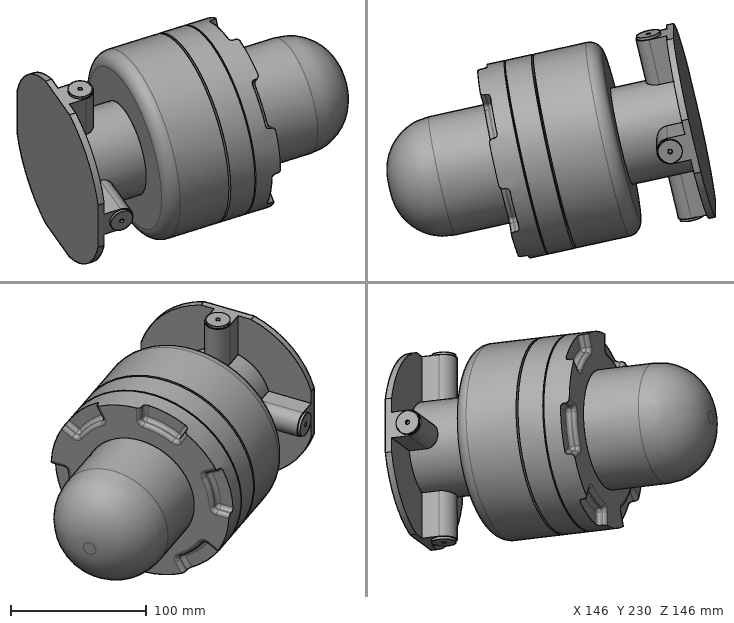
import cadquery as cq
import math

total_length = 230.0
body_diameter = 146.0
body_radius = body_diameter / 2
body_start = 55.0
body_end = 147.0
body_edge_radius = 10.4
neck_radius = 36.3
dome_radius = 44.6
dome_round = 39.5

grooves = [(104.9, 1.5, 61.5), (126.0, 1.0, 68.3)]

plate_radius = 73.0
plate_thickness = 5.0
plate_half_width = 70.0

arm_count = 4
arm_axis_height = 18.5
arm_radius = 10.0
cap_radius = 9.0
cap_end = 72.0
cap_hole_radius = 1.5
cap_hole_depth = 2.0

notch_count = 6
notch_angle = 30.0
notch_depth = 7.0
notch_inner_radius = 60.0
notch_round = 3.0


def disc(radius, start, end):
    """Cylinder about the Y axis between two positions along Y."""
    return cq.Workplane("XZ", origin=(0, start, 0)).circle(radius).extrude(start - end)


def turned_body():
    shell = disc(body_radius, body_start, body_end).faces("<Y").edges().fillet(body_edge_radius)
    dome = disc(dome_radius, body_end, total_length).faces(">Y").edges().fillet(dome_round)
    return shell.union(dome)


def notch_cutter():
    """Ring sector about +Z with rounded inner corners and floor, flaring out above the end face."""
    reach = body_diameter
    spread = reach * math.tan(math.radians(notch_angle / 2))
    floor = body_end - notch_depth
    sector = (
        cq.Workplane("XZ", origin=(0, floor, 0))
        .polyline([(0, 0), (-spread, reach), (spread, reach)])
        .close()
        .extrude(-notch_depth)
        .cut(disc(notch_inner_radius, floor, body_end))
    )
    sector = sector.edges("|Y").edges("<Z").fillet(notch_round)
    sector = sector.faces("<Y").edges("not(>Z)").fillet(notch_round)
    slab = (
        cq.Workplane("XZ", origin=(0, body_end, 0))
        .center(0, reach / 2)
        .rect(4 * spread, reach)
        .extrude(-notch_depth)
        .cut(disc(notch_inner_radius - 2 * notch_round, body_end, body_end + notch_depth))
    )
    cutter = sector.union(slab)
    joint = cq.selectors.BoxSelector(
        (-spread, body_end - notch_round / 2, notch_inner_radius - notch_round),
        (spread, body_end + notch_round / 2, reach - notch_round),
    )
    return cutter.edges(joint).fillet(notch_round)


def cut_notches(body):
    cutter = notch_cutter()
    pitch = 360 / notch_count
    for index in range(notch_count):
        angle = index * pitch - notch_angle / 2
        body = body.cut(cutter.rotate((0, 0, 0), (0, 1, 0), angle))
    return body


def cut_grooves(body):
    for start, width, bottom_radius in grooves:
        end = start + width
        ring = disc(body_diameter, start, end).cut(disc(bottom_radius, start, end))
        body = body.cut(ring)
    return body


def base_plate():
    flats = cq.Workplane("XY").box(2 * plate_half_width, 2 * plate_thickness, 2 * plate_half_width)
    return disc(plate_radius, 0, plate_thickness).intersect(flats)


def arm():
    """Arm along +Z: a round-topped bar standing on the plate, its cap and the cap's centre hole."""
    axis = cq.Workplane("XY", origin=(0, arm_axis_height, 0))
    bar = axis.circle(arm_radius).extrude(plate_half_width)
    web = (
        cq.Workplane("XY")
        .center(0, arm_axis_height / 2)
        .rect(2 * arm_radius, arm_axis_height)
        .extrude(plate_half_width)
    )
    cap = axis.circle(cap_radius).extrude(cap_end)
    hole = axis.workplane(offset=cap_end).circle(cap_hole_radius).extrude(-cap_hole_depth)
    return bar.union(web).union(cap).cut(hole)


result = cut_grooves(cut_notches(turned_body()))
result = result.union(base_plate()).union(disc(neck_radius, 0, body_start))
for index in range(arm_count):
    result = result.union(arm().rotate((0, 0, 0), (0, 1, 0), index * 360 / arm_count))